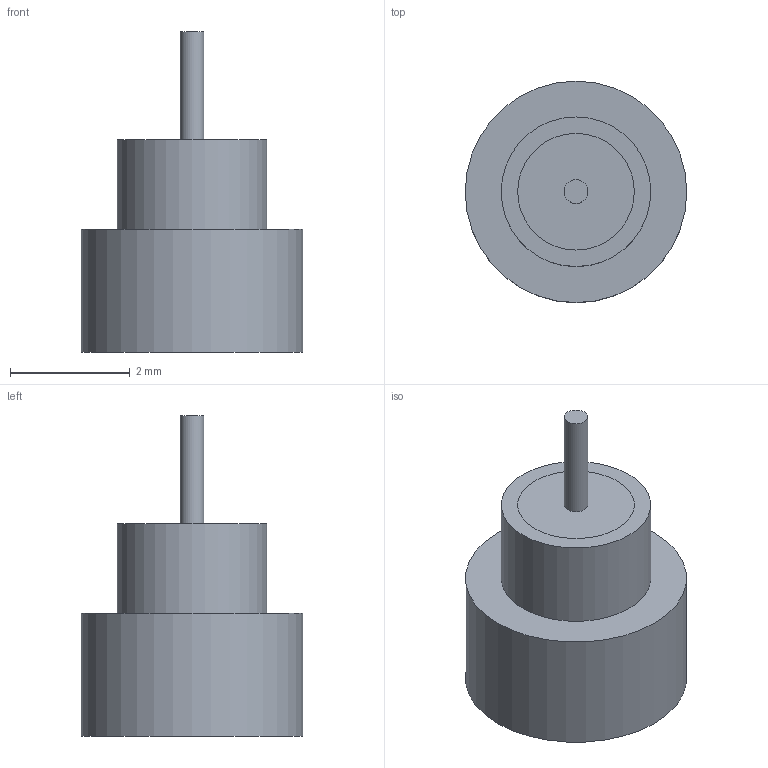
import cadquery as cq

body_diameter = 3.7
body_height = 2.05
neck_diameter = 2.5
neck_height = 1.5
insulator_diameter = 1.95
pin_diameter = 0.4
pin_length = 1.8

neck_base = body_height
neck_top = neck_base + neck_height


def cylinder(diameter, height, base_level):
    """Upright cylinder on the Z axis, standing on base_level."""
    return cq.Workplane("XY").workplane(offset=base_level).circle(diameter / 2).extrude(height)


def make_shell():
    """Stepped outer shell, bored through the neck to hold the insulator."""
    body = cylinder(body_diameter, body_height, 0)
    neck = cylinder(neck_diameter, neck_height, neck_base)
    bore = cylinder(insulator_diameter, neck_height, neck_base)
    return body.union(neck).cut(bore)


def make_insulator():
    """Plug that fills the bore, flush with the top of the neck."""
    return cylinder(insulator_diameter, neck_height, neck_base)


def make_pin():
    """Centre contact pin standing on the insulator."""
    return cylinder(pin_diameter, pin_length, neck_top)


result = make_shell().union(make_insulator(), clean=False).union(make_pin(), clean=False)